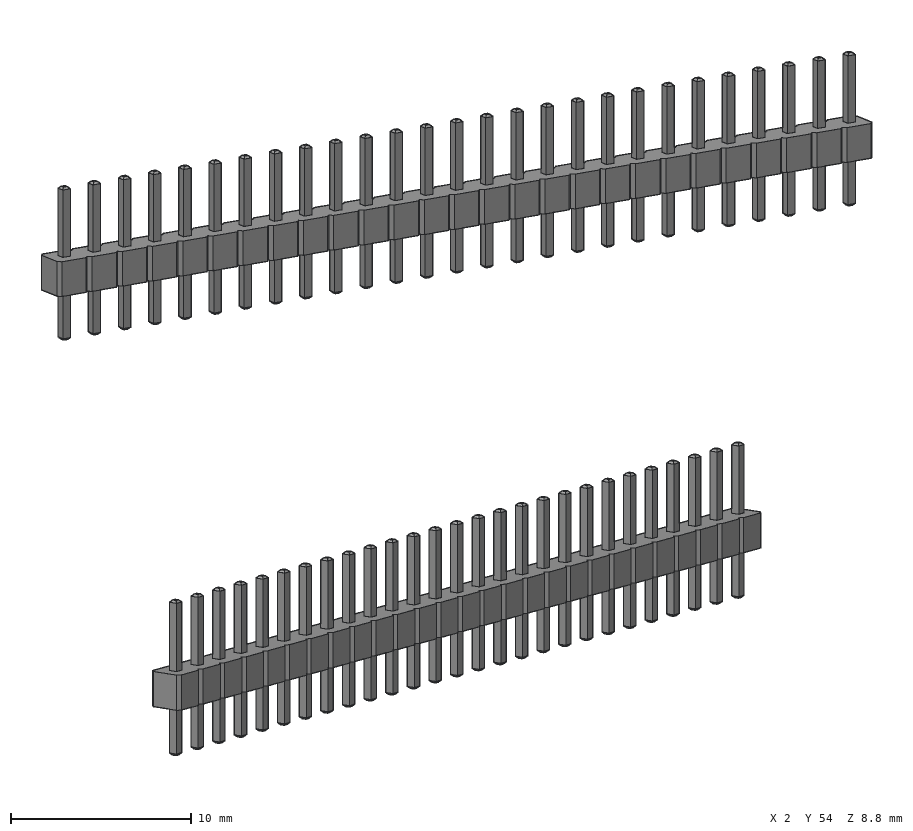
import cadquery as cq

strip_length = 54.0
pin_count = 27
body_width = 2.0
body_height = 2.0
corner_chamfer = 0.2
pin_side = 0.5
tip_chamfer = 0.125
pin_above_body = 4.0
pin_below_body = 2.8

pitch = strip_length / pin_count
first_center = (pitch - strip_length) / 2
pin_centers = [(0, first_center + i * pitch) for i in range(pin_count)]


def housing():
    """Row of chamfered blocks, joined end to end, with V-notches where they meet."""
    block = (
        cq.Workplane("XY")
        .box(body_width, pitch, body_height, centered=(True, True, False))
        .edges("|Z")
        .chamfer(corner_chamfer)
        .val()
    )
    return cq.Workplane("XY").pushPoints(pin_centers).eachpoint(lambda place: block.moved(place))


def pins():
    """Square pins through the housing, with bevelled tips at both ends."""
    pin_length = pin_below_body + body_height + pin_above_body
    pin = (
        cq.Workplane("XY", origin=(0, 0, -pin_below_body))
        .box(pin_side, pin_side, pin_length, centered=(True, True, False))
        .faces("<Z or >Z")
        .edges()
        .chamfer(tip_chamfer)
        .val()
    )
    return cq.Workplane("XY").pushPoints(pin_centers).eachpoint(lambda place: pin.moved(place))


housing_blocks = housing().vals()
joined = housing_blocks[0].fuse(*housing_blocks[1:], *pins().vals()).clean()
result = cq.Workplane("XY").newObject(joined.Solids())